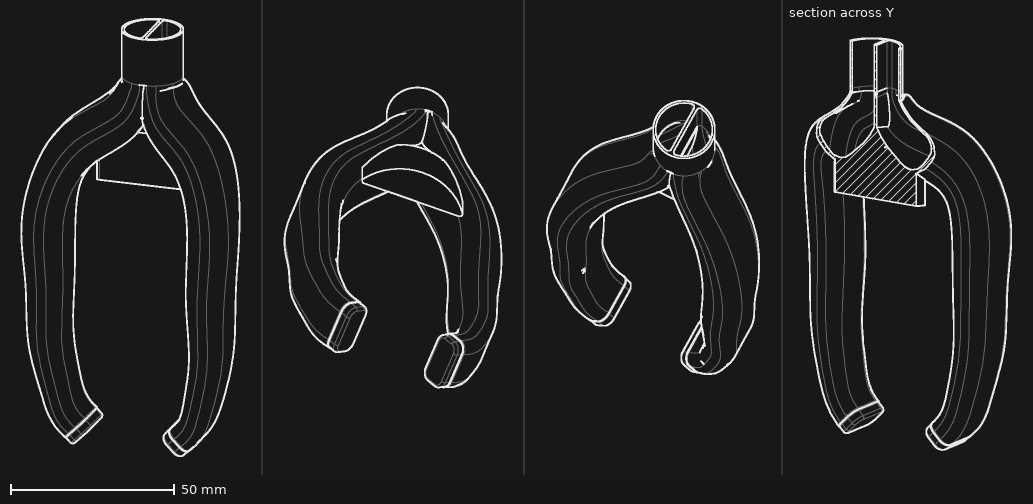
import cadquery as cq
import math

COLLAR_RADIUS = 9.5
COLLAR_HEIGHT = 15.0
WALL = 0.8
WEB = 1.0

HALF_ROUND_CORNER = 1.0
NECK_LENGTH = 1.5
SIDE_ANGLE = 30
FRONT_ANGLE = 65

LEG_STATIONS = [
    ((5.0, -2.0, -7.2), -25, 48, 13.4, 17.6),
    ((11.8, -6.8, -14.7), -30, 33, 15.0, 17.4),
    ((21.2, -13.5, -22.1), -28, 47, 14.8, 17.6),
    ((26.2, -19.3, -36.0), -8, 84, 13.2, 17.7),
    ((26.15, -21.05, -58.6), 0, 91, 12.3, 17.8),
    ((26.2, -20.6, -76.0), 0, 93, 11.0, 17.6),
    ((24.9, -19.9, -89.0), 0, 101, 10.0, 17.2),
    ((22.5, -19.3, -99.4), 0, 114, 9.2, 16.9),
    ((17.2, -18.65, -108.6), 0, 135, 9.0, 16.7),
]

STRIP_WIDTH = 3.1
CORNER_DEPTH = 3.3

BAND_LENGTH = 0.6
PLUG_LENGTH = 3.8
PLUG_STEP = 0.15
PLUG_FILLET = 0.9

PLATE_HALF_LENGTH = 16.5
PLATE_FRONT_Y = -5.3
PLATE_END_BACK_Y = -4.2
PLATE_CORNER = 1.0
PLATE_BACK_Y = 4.6
PLATE_TOP_Z = -17.2
PLATE_BOTTOM_Z = -34.2

GUSSET_HALF_WIDTH = 3.5
GUSSET_FRONT_Y = -10.2
GUSSET_FRONT_Z = -10.5
GUSSET_BACK_Y = 3.5
GUSSET_TOP_Z = -6.0

KEEP_BOX = (100, 200, 400)


def on_circle(radius, angle):
    """Point on a circle around the origin, angle in degrees from local X."""
    turn = math.radians(angle)
    return (radius * math.cos(turn), radius * math.sin(turn))


def half_round(z, inset, web_inset):
    """Right half of the collar disc with rounded corners, shrunk by the insets."""
    radius = COLLAR_RADIUS - inset
    corner = HALF_ROUND_CORNER
    corner_x = web_inset + corner
    corner_y = math.sqrt((radius - corner) ** 2 - corner_x ** 2)
    rim_angle = math.degrees(math.atan2(corner_y, corner_x))
    mid_angle = (rim_angle + 180) / 2
    mid_x, mid_y = on_circle(corner, mid_angle)
    mid_corner = (corner_x + mid_x, corner_y + mid_y)
    side = SIDE_ANGLE
    front = FRONT_ANGLE
    return (
        cq.Workplane("XY", origin=(0, 0, z))
        .moveTo(web_inset, -corner_y)
        .lineTo(web_inset, corner_y)
        .threePointArc(mid_corner, on_circle(radius, rim_angle))
        .threePointArc(on_circle(radius, (rim_angle + front) / 2), on_circle(radius, front))
        .threePointArc(on_circle(radius, (front + side) / 2), on_circle(radius, side))
        .threePointArc((radius, 0), on_circle(radius, -side))
        .threePointArc(on_circle(radius, -(front + side) / 2), on_circle(radius, -front))
        .threePointArc(on_circle(radius, -(rim_angle + front) / 2), on_circle(radius, -rim_angle))
        .threePointArc((mid_corner[0], -mid_corner[1]), (web_inset, -corner_y))
        .close()
    )


def station_plane(station):
    """Plane across the leg: local X points outward, the normal points back up the leg."""
    center, heading, slope = station[:3]
    turn = math.radians(heading)
    dip = math.radians(slope)
    down_leg = cq.Vector(math.cos(dip) * math.cos(turn), math.cos(dip) * math.sin(turn), -math.sin(dip))
    outward = down_leg.cross(cq.Vector(0, 1, 0))
    return cq.Plane(origin=center, xDir=outward, normal=-down_leg)


def leg_section(station, inset):
    """Rectangle with elliptical corners across the leg at one station, shrunk by the inset."""
    width, depth = station[3:]
    x = width / 2 - inset
    y = depth / 2 - inset
    flat = STRIP_WIDTH / 2
    side = depth / 2 - CORNER_DEPTH
    bulge = math.sqrt(0.5)
    mid_x = flat + bulge * (x - flat)
    mid_y = side + bulge * (y - side)
    along_x = (1, 0)
    along_y = (0, 1)
    against_x = (-1, 0)
    against_y = (0, -1)
    return (
        cq.Workplane(station_plane(station))
        .moveTo(-x, -side)
        .lineTo(-x, side)
        .spline([(-mid_x, mid_y), (-flat, y)], [along_y, along_x], includeCurrent=True)
        .lineTo(flat, y)
        .spline([(mid_x, mid_y), (x, side)], [along_x, against_y], includeCurrent=True)
        .lineTo(x, -side)
        .spline([(mid_x, -mid_y), (flat, -y)], [against_y, against_x], includeCurrent=True)
        .lineTo(-flat, -y)
        .spline([(-mid_x, -mid_y), (-x, -side)], [against_x, along_y], includeCurrent=True)
        .close()
    )


def leg_body(inset, web_inset):
    """Smooth right leg from the collar to the foot, shrunk by the insets."""
    wires = []
    for z in (0, -NECK_LENGTH):
        wires.append(half_round(z, inset, web_inset).wires().val())
    for station in LEG_STATIONS:
        wires.append(leg_section(station, inset).wires().val())
    solid = cq.occ_impl.shapes.loft(*wires, cap=True, degree=3, parametrization="chordal")
    return cq.Workplane(solid)


def foot():
    """Band and rounded plug that close the lower end of the right leg."""
    end = LEG_STATIONS[-1]
    band = leg_section(end, 0).extrude(-BAND_LENGTH)
    plug = leg_section(end, PLUG_STEP).extrude(-PLUG_LENGTH).faces("<(-1,0,1)").edges().fillet(PLUG_FILLET)
    return band.union(plug)


def bridge_plate():
    """Upright plate joining the legs below the crotch."""
    return (
        cq.Workplane("XY", origin=(0, 0, PLATE_BOTTOM_Z))
        .moveTo(-PLATE_HALF_LENGTH, PLATE_FRONT_Y)
        .lineTo(PLATE_HALF_LENGTH, PLATE_FRONT_Y)
        .lineTo(PLATE_HALF_LENGTH, PLATE_END_BACK_Y)
        .threePointArc((0, PLATE_BACK_Y), (-PLATE_HALF_LENGTH, PLATE_END_BACK_Y))
        .close()
        .extrude(PLATE_TOP_Z - PLATE_BOTTOM_Z)
        .edges("|Z and <Y")
        .fillet(PLATE_CORNER)
    )


def crotch_gusset():
    """Wedge whose front slopes back and down from the fork crotch to the plate."""
    return (
        cq.Workplane("YZ", origin=(-GUSSET_HALF_WIDTH, 0, 0))
        .moveTo(GUSSET_FRONT_Y, GUSSET_FRONT_Z)
        .lineTo(PLATE_FRONT_Y, PLATE_TOP_Z)
        .lineTo(GUSSET_BACK_Y, PLATE_TOP_Z)
        .lineTo(GUSSET_BACK_Y, GUSSET_TOP_Z)
        .lineTo(PLATE_FRONT_Y, GUSSET_TOP_Z)
        .close()
        .extrude(2 * GUSSET_HALF_WIDTH)
    )


def right_of(x, body):
    """The portion of a body beyond a plane across X."""
    keep = cq.Workplane("XY").box(*KEEP_BOX, centered=(False, True, True)).translate((x, 0, 0))
    return body.intersect(keep)


half_collar = right_of(0, cq.Workplane("XY").circle(COLLAR_RADIUS).extrude(COLLAR_HEIGHT))
collar_bore = half_round(0, WALL, WEB / 2).extrude(COLLAR_HEIGHT)
leg = right_of(0, leg_body(0, 0))
leg_bore = right_of(WEB / 2, leg_body(WALL, WEB / 2))

bridge = bridge_plate().union(crotch_gusset())
right_half = leg.union(right_of(0, bridge)).cut(leg_bore)
right_half = right_half.union(half_collar.cut(collar_bore)).union(foot())
result = right_half.union(right_half.mirror("YZ"))